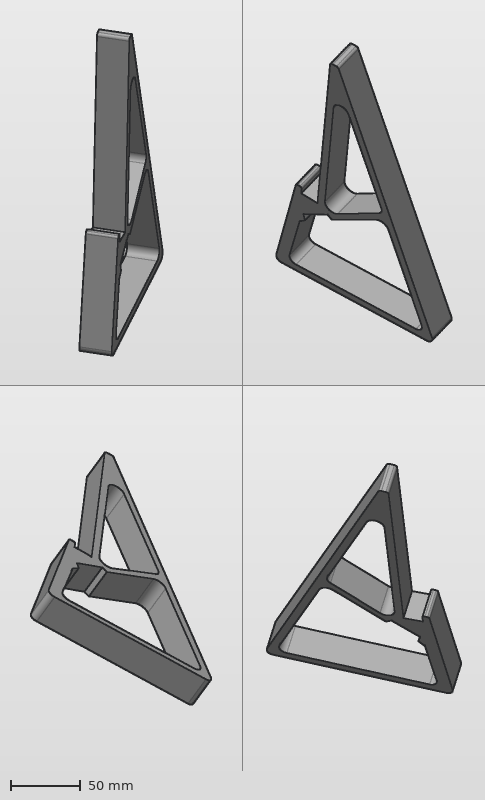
import cadquery as cq
import math

width = 24.0
height = 243.5
depth = 138.1

foot_radius = 4.9
back_lean = 19.3
shin_lean = 11.3
rest_lean = 4.0
tip_width = 7.0
tip_radius = 2.31
tray_depth = 14.4
lip_height = 7.0
lip_top = 93.0
lip_radius = 1.7
tray_corner_y = 36.5

upper_window = [(53.0, 229.5), (42.1, 76.7), (94.5, 112.3)]
upper_window_radii = [6.8, 7.0, 5.5]

base_thickness = 6.3
lower_window = [
    (131.3, base_thickness),
    (96.2, 106.0),
    (49.5, 75.3),
    (45.5, 78.2),
    (24.0, 65.0),
    (25.5, 59.2),
    (20.7, 54.8),
    (10.5, base_thickness),
]
lower_window_radii = [5.5, 7.0, 0, 0, 0, 0, 0, 5.5]


def extrude_profile(points):
    """Extrude a closed (Y, Z) outline over the full width, centred on X = 0."""
    return cq.Workplane("YZ").polyline(points).close().extrude(width / 2, both=True)


def round_corner(body, corner, radius):
    """Round the edge along X that passes through a (Y, Z) corner."""
    y, z = corner
    return body.edges(cq.selectors.NearestToPointSelector((0, y, z))).fillet(radius)


def rounded_prism(points, radii):
    body = extrude_profile(points)
    for corner, radius in zip(points, radii):
        if radius > 0:
            body = round_corner(body, corner, radius)
    return body


def foot_overhang(lean):
    """Distance from a rounded foot's outermost point to its sharp corner."""
    half_angle = math.radians(90 - lean) / 2
    return foot_radius / math.tan(half_angle) - foot_radius


def run(rise, lean):
    """Horizontal shift of a leaning edge over a vertical rise."""
    return rise * math.tan(math.radians(lean))


def make_frame():
    heel = (depth + foot_overhang(back_lean), 0)
    toe = (-foot_overhang(shin_lean), 0)
    tip_back = (heel[0] - run(height, back_lean), height)
    tip_front = (tip_back[0] - tip_width, height)

    rest_angle = math.radians(rest_lean)
    lip_base_z = lip_top - lip_height * math.cos(rest_angle)
    tray_corner = (tray_corner_y, lip_base_z - tray_depth * math.sin(rest_angle))
    lip_base = (tray_corner_y - tray_depth * math.cos(rest_angle), lip_base_z)
    lip_back = (lip_base[0] + lip_height * math.sin(rest_angle), lip_top)
    lip_front = (toe[0] + run(lip_top, shin_lean), lip_top)

    points = [heel, tip_back, tip_front, tray_corner, lip_base, lip_back, lip_front, toe]
    radii = [foot_radius, tip_radius, tip_radius, 0, 0, lip_radius, lip_radius, foot_radius]
    return rounded_prism(points, radii)


frame = make_frame()
frame = frame.cut(rounded_prism(upper_window, upper_window_radii))
result = frame.cut(rounded_prism(lower_window, lower_window_radii))